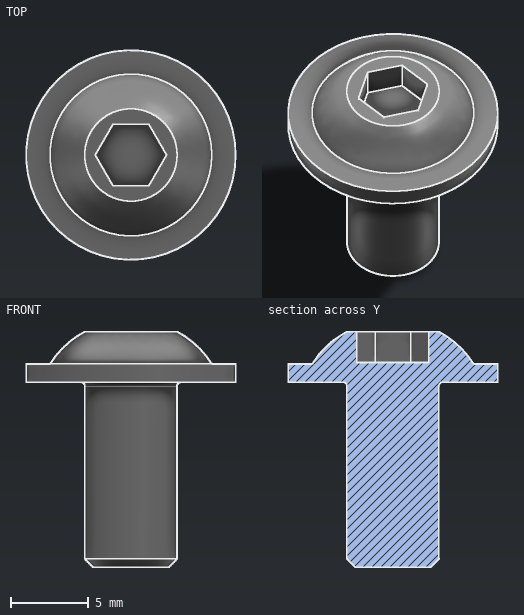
import cadquery as cq
import math

total_length = 15.3
shank_length = 12.0
shank_radius = 3.0
tip_chamfer = 0.55
flange_radius = 6.801
flange_thickness = 1.21
dome_base_radius = 5.25
dome_top_radius = 3.0
dome_bulge = 0.2
neck_height = 0.25
neck_flare = 0.2
socket_across_flats = 4.01
socket_depth = 2.0

flange_top = shank_length + flange_thickness


def dome_arc_midpoint():
    """Point halfway along the dome arc, offset outward from its chord."""
    run = dome_base_radius - dome_top_radius
    rise = total_length - flange_top
    chord = math.hypot(run, rise)
    mid_radius = (dome_base_radius + dome_top_radius) / 2 + dome_bulge * rise / chord
    mid_height = (flange_top + total_length) / 2 + dome_bulge * run / chord
    return mid_radius, mid_height


def neck_arc_midpoint():
    """Point on the concave flare, 45 degrees along its sweep."""
    inset = 1 - math.sqrt(0.5)
    return shank_radius + neck_flare * inset, shank_length - neck_height * inset


def screw_body():
    """Shank, flange and domed head as one revolved profile."""
    profile = (
        cq.Workplane("XZ")
        .lineTo(shank_radius - tip_chamfer, 0)
        .lineTo(shank_radius, tip_chamfer)
        .lineTo(shank_radius, shank_length - neck_height)
        .threePointArc(neck_arc_midpoint(), (shank_radius + neck_flare, shank_length))
        .lineTo(flange_radius, shank_length)
        .lineTo(flange_radius, flange_top)
        .lineTo(dome_base_radius, flange_top)
        .threePointArc(dome_arc_midpoint(), (dome_top_radius, total_length))
        .lineTo(0, total_length)
        .close()
    )
    return profile.revolve(360, (0, 0), (0, 1))


def hex_socket():
    """Hexagonal drive recess with two corners on the X axis."""
    across_corners = socket_across_flats / math.cos(math.pi / 6)
    return (
        cq.Workplane("XY", origin=(0, 0, total_length))
        .polygon(6, across_corners)
        .extrude(-socket_depth)
    )


result = screw_body().cut(hex_socket())